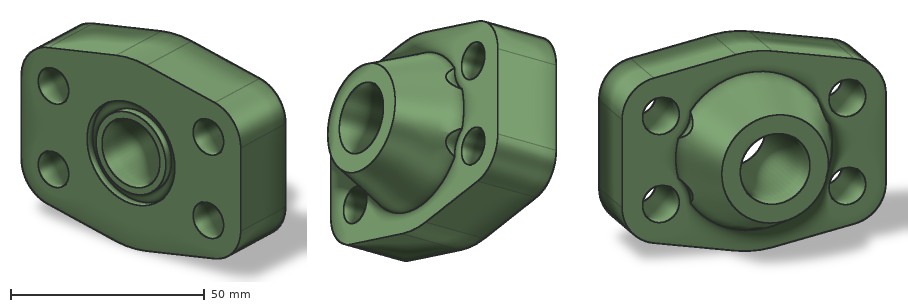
import cadquery as cq
import math

plate_length = 72.0
plate_height = 53.9
plate_thickness = 18.9
crown_radius = plate_height / 2

bolt_x = 25.4
bolt_z = 11.9
bolt_diameter = 10.0
spotface_radius = 8.0
corner_radius = plate_length / 2 - bolt_x

overall_depth = 36.0
neck_length = overall_depth - plate_thickness
neck_base_radius = 21.4
neck_end_radius = 14.55
bore_diameter = 19.0

groove_outer_radius = 14.4
groove_inner_radius = 11.45
groove_depth = 2.4

bolt_points = [(sx * bolt_x, sz * bolt_z) for sx in (-1, 1) for sz in (-1, 1)]


def cylinder(radius, start_y, length, centers):
    """Cylinders along +Y at the given (x, z) centers."""
    plane = cq.Workplane("XZ", origin=(0, start_y, 0))
    return plane.pushPoints(centers).circle(radius).extrude(-length)


def make_plate():
    """Plate whose sloping edges are tangent to the crown and corner arcs."""
    bolt_distance = math.hypot(bolt_x, bolt_z)
    slope = math.atan2(bolt_x, bolt_z) - math.acos((crown_radius - corner_radius) / bolt_distance)
    normal_x = math.sin(slope)
    normal_z = math.cos(slope)
    crown_x = crown_radius * normal_x
    crown_z = crown_radius * normal_z
    shoulder_x = bolt_x + corner_radius * normal_x
    shoulder_z = bolt_z + corner_radius * normal_z
    middle_angle = (math.pi / 2 + slope) / 2
    corner_x = bolt_x + corner_radius * math.sin(middle_angle)
    corner_z = bolt_z + corner_radius * math.cos(middle_angle)
    side_x = plate_length / 2
    return (
        cq.Workplane("XZ")
        .moveTo(-crown_x, crown_z)
        .threePointArc((0, crown_radius), (crown_x, crown_z))
        .lineTo(shoulder_x, shoulder_z)
        .threePointArc((corner_x, corner_z), (side_x, bolt_z))
        .lineTo(side_x, -bolt_z)
        .threePointArc((corner_x, -corner_z), (shoulder_x, -shoulder_z))
        .lineTo(crown_x, -crown_z)
        .threePointArc((0, -crown_radius), (-crown_x, -crown_z))
        .lineTo(-shoulder_x, -shoulder_z)
        .threePointArc((-corner_x, -corner_z), (-side_x, -bolt_z))
        .lineTo(-side_x, bolt_z)
        .threePointArc((-corner_x, corner_z), (-shoulder_x, shoulder_z))
        .close()
        .extrude(-plate_thickness)
    )


def make_neck():
    """Cone behind the plate, scalloped by the bolt-head clearances."""
    cone = (
        cq.Workplane("XY")
        .moveTo(0, plate_thickness)
        .lineTo(neck_base_radius, plate_thickness)
        .lineTo(neck_end_radius, overall_depth)
        .lineTo(0, overall_depth)
        .close()
        .revolve(360, (0, 0, 0), (0, 1, 0))
    )
    return cone.cut(cylinder(spotface_radius, plate_thickness, neck_length, bolt_points))


def make_groove():
    """Ring removed from the front face around the bore."""
    ring = cq.Workplane("XZ").circle(groove_outer_radius).circle(groove_inner_radius)
    return ring.extrude(-groove_depth)


result = (
    make_plate()
    .union(make_neck())
    .cut(cylinder(bolt_diameter / 2, 0, plate_thickness, bolt_points))
    .cut(cylinder(bore_diameter / 2, 0, overall_depth, [(0, 0)]))
    .cut(make_groove())
)